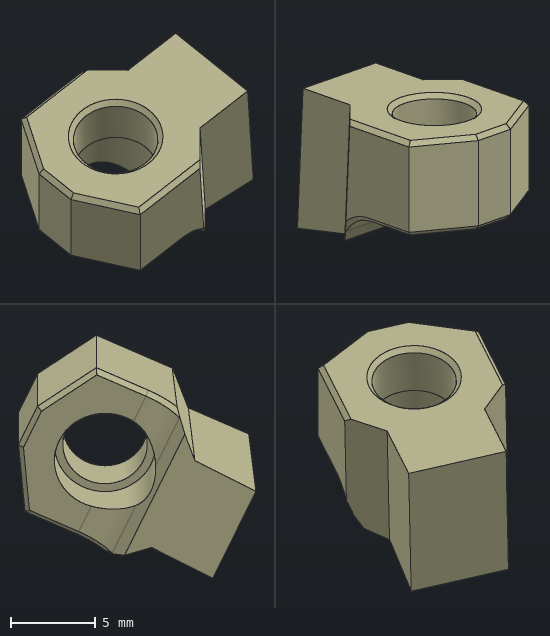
import math

import cadquery as cq

HALF_WIDTH = 5.04
HEAD_HEIGHT = 6.0
EDGE_CHAMFER = 0.3

FACET_ANGLE = math.radians(30)
FRONT_CORNER_X = HALF_WIDTH * math.tan(FACET_ANGLE / 2)
SIDE_CORNER_Y = -HALF_WIDTH * math.tan((math.pi / 2 - FACET_ANGLE) / 2)

TONGUE_WIDTH = 6.1
TONGUE_DROP = 3.0
TONGUE_TIP_Y = 8.46
LEAN = math.tan(math.radians(3))
TONGUE_TOP_Y = TONGUE_TIP_Y - LEAN * (HEAD_HEIGHT + TONGUE_DROP)
SHOULDER_TOP_DISTANCE = 5.0

ARC_START_Y = 0.48
ARC_RADIUS = 2.6
RAMP_ANGLE = math.radians(57)
TAIL_ANGLE = math.radians(10)

BORE_DIAMETER = 5.0
COUNTERBORE_DIAMETER = 6.0
COUNTERBORE_DEPTH = 2.7


def make_side_profile():
    """Side outline in the YZ plane, extruded over the full width."""
    arc_centre_z = -ARC_RADIUS
    arc_mid = (
        ARC_START_Y + ARC_RADIUS * math.sin(RAMP_ANGLE / 2),
        arc_centre_z + ARC_RADIUS * math.cos(RAMP_ANGLE / 2),
    )
    arc_end = (
        ARC_START_Y + ARC_RADIUS * math.sin(RAMP_ANGLE),
        arc_centre_z + ARC_RADIUS * math.cos(RAMP_ANGLE),
    )
    ramp_slope = -math.tan(RAMP_ANGLE)
    tail_slope = -math.tan(TAIL_ANGLE)
    tail_z_at_arc_end = -TONGUE_DROP + tail_slope * (arc_end[0] - TONGUE_TIP_Y)
    ramp_run = (tail_z_at_arc_end - arc_end[1]) / (ramp_slope - tail_slope)
    ramp_foot = (arc_end[0] + ramp_run, arc_end[1] + ramp_slope * ramp_run)
    return (
        cq.Workplane("YZ")
        .moveTo(-HALF_WIDTH, 0)
        .lineTo(ARC_START_Y, 0)
        .threePointArc(arc_mid, arc_end)
        .lineTo(*ramp_foot)
        .lineTo(TONGUE_TIP_Y, -TONGUE_DROP)
        .lineTo(TONGUE_TOP_Y, HEAD_HEIGHT)
        .lineTo(-HALF_WIDTH, HEAD_HEIGHT)
        .close()
        .extrude(HALF_WIDTH, both=True)
    )


def cut_front_facets(body):
    """Remove the two front corners over the full height of the head."""
    for side in (-1, 1):
        corner = (
            cq.Workplane("XY")
            .polyline([
                (side * FRONT_CORNER_X, -HALF_WIDTH),
                (side * HALF_WIDTH, -HALF_WIDTH),
                (side * HALF_WIDTH, SIDE_CORNER_Y),
            ])
            .close()
            .extrude(HEAD_HEIGHT)
        )
        body = body.cut(corner)
    return body


def chamfer_outline(body):
    """Bevel the top and bottom outline; the bottom bevel follows the arc and ramp."""
    top_edges = body.faces(">Z").edges("not >Y")
    body = top_edges.chamfer(EDGE_CHAMFER)
    underside = body.faces(cq.selectors.NearestToPointSelector((0, -HALF_WIDTH / 2, 0)))
    return underside.edges("not >Y").chamfer(EDGE_CHAMFER)


def shoulder_outline(plane_z):
    """Plan points of the tongue and shoulders at one height."""
    shift = LEAN * (HEAD_HEIGHT - plane_z)
    margin_x = 2 * HALF_WIDTH
    front_y = -2 * HALF_WIDTH
    rear_y = 2 * TONGUE_TIP_Y
    tongue_x = TONGUE_WIDTH / 2
    shoulder_sum = SHOULDER_TOP_DISTANCE * math.sqrt(2) + shift
    right_side = [
        (margin_x, front_y),
        (margin_x, shoulder_sum - margin_x),
        (tongue_x, shoulder_sum - tongue_x),
        (tongue_x, rear_y),
    ]
    left_side = [(-x, y) for x, y in reversed(right_side)]
    return right_side + left_side


def trim_shoulders(body):
    """Keep the tongue width and the leaning 45 degree shoulders behind the head."""
    envelope = (
        cq.Workplane("XY", origin=(0, 0, -TONGUE_DROP))
        .polyline(shoulder_outline(-TONGUE_DROP))
        .close()
        .workplane(offset=HEAD_HEIGHT + TONGUE_DROP)
        .polyline(shoulder_outline(HEAD_HEIGHT))
        .close()
        .loft(ruled=True)
    )
    return body.intersect(envelope)


def cut_bore(body):
    """Through bore with a top chamfer and a counterbore that also scoops the ramp."""
    bore_radius = BORE_DIAMETER / 2
    counterbore_radius = COUNTERBORE_DIAMETER / 2
    bore = (
        cq.Workplane("XZ")
        .polyline([
            (0, -TONGUE_DROP),
            (counterbore_radius, -TONGUE_DROP),
            (counterbore_radius, COUNTERBORE_DEPTH),
            (bore_radius, COUNTERBORE_DEPTH),
            (bore_radius, HEAD_HEIGHT - EDGE_CHAMFER),
            (bore_radius + EDGE_CHAMFER, HEAD_HEIGHT),
            (0, HEAD_HEIGHT),
        ])
        .close()
        .revolve(360, (0, 0, 0), (0, 1, 0))
    )
    return body.cut(bore)


head = chamfer_outline(cut_front_facets(make_side_profile()))
result = cut_bore(trim_shoulders(head))